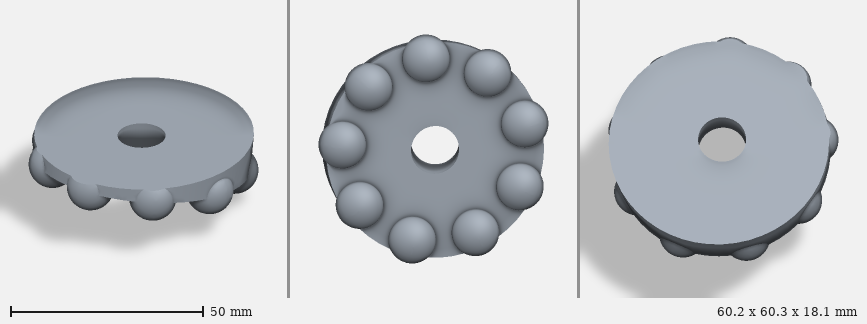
import cadquery as cq

disc_diameter = 56.95
hole_diameter = 12.5
tilt = 9.5
centre_thickness = 7.6
ball_radius = 6.2
ball_circle_radius = 24.3
ball_count = 9
first_ball_angle = -93.1

height_margin = 3 * centre_thickness
cutter_width = 2 * disc_diameter

lower_face = cq.Plane(origin=(0, 0, -centre_thickness)).rotated((-tilt, 0, 0))


def make_disc():
    """Round disc standing square to the sloping face, left overlong at the top."""
    return cq.Workplane(lower_face).circle(disc_diameter / 2).extrude(height_margin)


def make_balls():
    """Evenly spaced balls centred on the sloping face."""
    return (
        cq.Workplane(lower_face)
        .polarArray(ball_circle_radius, first_ball_angle, 360, ball_count)
        .sphere(ball_radius, combine=False)
    )


def make_top_cutter():
    """Block above Z = 0 that trims the disc and balls to a level top."""
    return cq.Workplane("XY").rect(cutter_width, cutter_width).extrude(2 * height_margin)


def make_hole():
    """Vertical through hole, square to the level top."""
    return cq.Workplane("XY").circle(hole_diameter / 2).extrude(-height_margin)


body = make_disc()
for ball in make_balls().vals():
    body = body.union(cq.Workplane(obj=ball))
result = body.cut(make_top_cutter()).cut(make_hole())